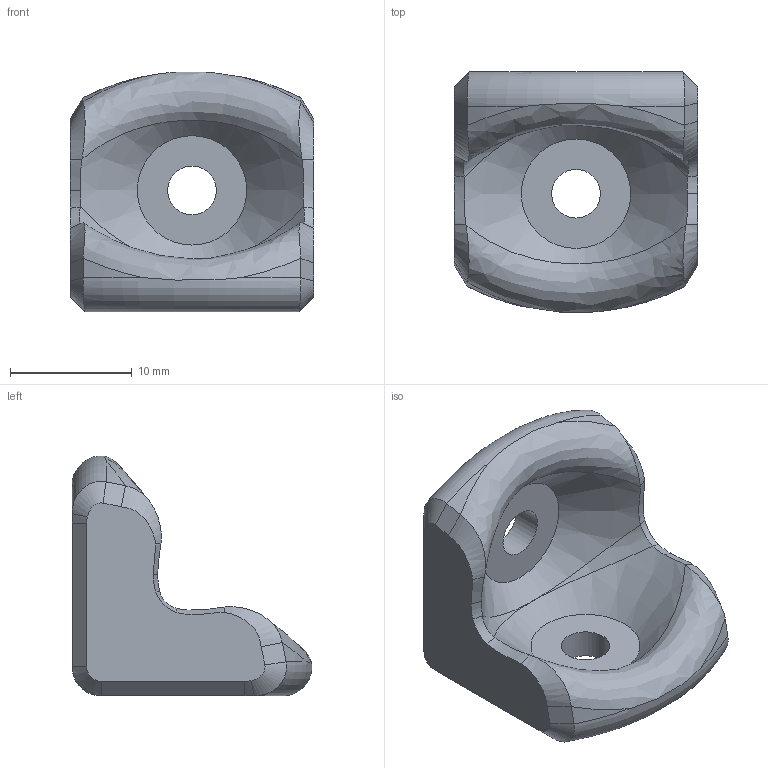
import cadquery as cq
import math

width = 20.0
rim_radius = 20.25
rim_draft = 10.0
hole_distance = 10.0
hole_diameter = 4.0
seat_diameter = 9.0
seat_thickness = 2.4
bowl_angle = 45.0
edge_radius = 2.4
ridge_radius = 2.4
valley_radius = 2.4
end_chamfer = 1.2

block_height = 12.0
bowl_radius = 20.0


def make_disc():
    """Disc centred on the corner, its outer wall leaning inward as it rises."""
    top_radius = rim_radius - block_height * math.tan(math.radians(rim_draft))
    return (
        cq.Workplane("XZ")
        .polyline([(0, 0), (rim_radius, 0), (top_radius, block_height), (0, block_height)])
        .close()
        .revolve(360, (0, 0), (0, 1))
    )


def make_trim():
    """Block that limits a leg to the bracket width and to one side of the corner."""
    block = cq.Workplane("XY").box(width, 2 * rim_radius, block_height, centered=(True, True, False))
    return block.translate((0, -rim_radius, 0))


def make_bowl():
    """Flat-bottomed conical cutter centred on the screw hole."""
    seat_radius = seat_diameter / 2
    rise = (bowl_radius - seat_radius) * math.tan(math.radians(bowl_angle))
    return (
        cq.Workplane("XZ", origin=(0, -hole_distance, 0))
        .moveTo(0, seat_thickness)
        .lineTo(seat_radius, seat_thickness)
        .lineTo(bowl_radius, seat_thickness + rise)
        .lineTo(0, seat_thickness + rise)
        .close()
        .revolve(360, (0, 0), (0, 1))
    )


def to_other_leg(shape):
    """Half turn about the diagonal, carrying the lying leg onto the standing one."""
    return shape.rotate((0, 0, 0), (0, -1, 1), 180)


def make_leg():
    """Trimmed disc with its bowl, ridge and outer rim rounded."""
    disc = make_disc()
    leg = disc.intersect(make_trim()).cut(make_bowl())
    leg = leg.edges("%BSPLINE").fillet(ridge_radius)
    rounded_disc = disc.edges("<Z").fillet(edge_radius)
    return leg.intersect(rounded_disc)


def make_body():
    """Both legs joined, rounded along the corner and the valley, chamfered at both ends."""
    leg = make_leg()
    body = leg.union(to_other_leg(leg))
    body = body.edges("|X").fillet(edge_radius)
    body = body.edges("%PARABOLA").fillet(valley_radius)
    return body.faces("<X or >X").edges().chamfer(end_chamfer)


def make_hole():
    """Screw hole of the lying leg."""
    return (
        cq.Workplane("XY")
        .center(0, -hole_distance)
        .circle(hole_diameter / 2)
        .extrude(seat_thickness)
    )


hole = make_hole()
result = make_body().cut(hole).cut(to_other_leg(hole))